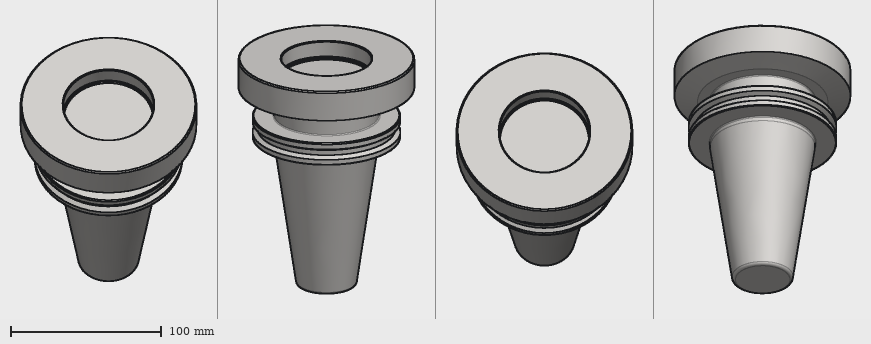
import cadquery as cq
import math

total_height = 161.6

head_radius = 58.5
head_rim_chamfer = 1.0
head_side_bottom = total_height - 20.7
head_bottom = total_height - 24.9
head_bottom_radius = 43.3

neck_radius = 34.9
neck_fillet = 0.6
flange_radius = 49.1
flange_top = total_height - 40.9
flange_bottom = total_height - 56.5
flange_top_chamfer = 0.8
flange_bottom_chamfer = 0.5

groove_root_radius = 45.7
groove_root_top = total_height - 47.2
groove_root_bottom = total_height - 50.7
groove_flank_angle = 30.0
groove_flank_rise = (flange_radius - groove_root_radius) * math.tan(math.radians(groove_flank_angle))

taper_top = total_height - 59.8
taper_slope = 7 / 24 / 2
taper_end_radius = neck_radius - taper_top * taper_slope
taper_end_fillet = 2.3

recess_radius = 29.9
recess_depth = 13.3
recess_rim_chamfer = 0.6

relief_radius = recess_radius + 0.3
relief_height = 2.3
recess_floor_chamfer = 0.8


def revolve_profile(points):
    """Turn a closed outline of (radius, height) points into a solid about Z."""
    return cq.Workplane("XZ").polyline(points).close().revolve(360, (0, 0), (0, 1))


def make_body():
    """Solid with the outer profile of taper, flange, neck and head."""
    return revolve_profile([
        (0, 0),
        (taper_end_radius, 0),
        (neck_radius, taper_top),
        (neck_radius, flange_bottom),
        (flange_radius - flange_bottom_chamfer, flange_bottom),
        (flange_radius, flange_bottom + flange_bottom_chamfer),
        (flange_radius, groove_root_bottom - groove_flank_rise),
        (groove_root_radius, groove_root_bottom),
        (groove_root_radius, groove_root_top),
        (flange_radius, groove_root_top + groove_flank_rise),
        (flange_radius, flange_top - flange_top_chamfer),
        (flange_radius - flange_top_chamfer, flange_top),
        (neck_radius, flange_top),
        (neck_radius, head_bottom),
        (head_bottom_radius, head_bottom),
        (head_radius, head_side_bottom),
        (head_radius, total_height - head_rim_chamfer),
        (head_radius - head_rim_chamfer, total_height),
        (0, total_height),
    ])


def make_recess():
    """Round pocket with a chamfered rim, a relief groove and a chamfered floor corner."""
    floor = total_height - recess_depth
    relief_top = floor + relief_height
    relief_depth = relief_radius - recess_radius
    return revolve_profile([
        (0, floor),
        (relief_radius - recess_floor_chamfer, floor),
        (relief_radius, floor + recess_floor_chamfer),
        (relief_radius, relief_top - relief_depth),
        (recess_radius, relief_top),
        (recess_radius, total_height - recess_rim_chamfer),
        (recess_radius + recess_rim_chamfer, total_height),
        (0, total_height),
    ])


def fillet_circle(body, height, radius, fillet):
    """Round the circular edge with the given height and radius."""
    tolerance = 0.02
    circles = [
        edge
        for edge in body.edges("%CIRCLE").vals()
        if abs(edge.Center().z - height) < tolerance and abs(edge.radius() - radius) < tolerance
    ]
    return body.newObject(circles).fillet(fillet)


body = make_body()
body = fillet_circle(body, 0, taper_end_radius, taper_end_fillet)
for corner_height in (flange_bottom, flange_top, head_bottom):
    body = fillet_circle(body, corner_height, neck_radius, neck_fillet)
result = body.cut(make_recess())